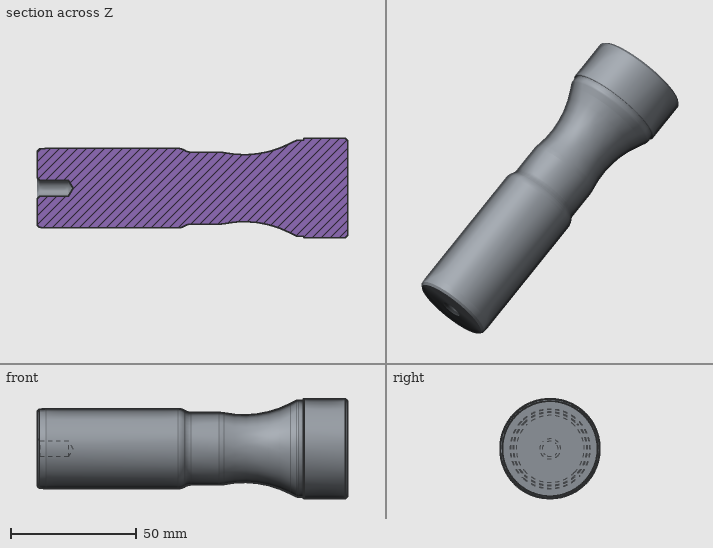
import cadquery as cq
import math

length = 124.0
shank_end = 56.2
neck_start = 61.4
neck_end = 72.5
waist_start = 74.4
waist_middle = 82.6
flare_end = 100.9
collar_start = 104.3
head_start = 106.3

shank_radius = 16.0
neck_radius = 14.5
collar_radius = 19.3
head_radius = 20.0

lead_chamfer = 0.9
lead_radius = 15.7
lead_face_radius = lead_radius - lead_chamfer
lead_length = 3.5

shoulder_angle = math.radians(30)
shoulder_arc = 5.0

waist_arc = 40.0
collar_arc = 2.0

head_front_chamfer = 0.2
head_back_chamfer = 1.0

hole_mouth_radius = 4.1
hole_radius = 3.1
hole_chamfer = hole_mouth_radius - hole_radius
hole_depth = 12.4
drill_half_angle = math.radians(59)


def turned_body():
    """Revolve the outer outline about the X axis."""
    shoulder_run = shoulder_arc * math.sin(shoulder_angle)
    shoulder_drop = shoulder_arc * (1 - math.cos(shoulder_angle))

    start_angle = math.asin((waist_middle - waist_start) / waist_arc)
    flare_angle = math.asin((flare_end - waist_middle) / waist_arc)
    waist_start_radius = neck_radius - (waist_start - neck_end) * math.tan(start_angle / 2)
    waist_radius = waist_start_radius - waist_arc * (1 - math.cos(start_angle))
    flare_radius = waist_radius + waist_arc * (1 - math.cos(flare_angle))
    cone_end = collar_start - collar_arc * math.sin(flare_angle)
    cone_end_radius = collar_radius - collar_arc * (1 - math.cos(flare_angle))

    outline = (
        cq.Workplane("XY")
        .lineTo(0, lead_face_radius)
        .lineTo(lead_chamfer, lead_radius)
        .lineTo(lead_length, shank_radius)
        .lineTo(shank_end, shank_radius)
        .tangentArcPoint((shank_end + shoulder_run, shank_radius - shoulder_drop), relative=False)
        .lineTo(neck_start - shoulder_run, neck_radius + shoulder_drop)
        .tangentArcPoint((neck_start, neck_radius), relative=False)
        .lineTo(neck_end, neck_radius)
        .tangentArcPoint((waist_start, waist_start_radius), relative=False)
        .threePointArc((waist_middle, waist_radius), (flare_end, flare_radius))
        .lineTo(cone_end, cone_end_radius)
        .tangentArcPoint((collar_start, collar_radius), relative=False)
        .lineTo(head_start, collar_radius)
        .lineTo(head_start, head_radius - head_front_chamfer)
        .lineTo(head_start + head_front_chamfer, head_radius)
        .lineTo(length - head_back_chamfer, head_radius)
        .lineTo(length, head_radius - head_back_chamfer)
        .lineTo(length, 0)
        .close()
    )
    return outline.revolve(360, (0, 0, 0), (1, 0, 0))


def centre_hole():
    """Chamfered blind hole with a conical drill point, on the X axis."""
    tip_length = hole_radius / math.tan(drill_half_angle)
    outline = (
        cq.Workplane("XY")
        .lineTo(0, hole_mouth_radius)
        .lineTo(hole_chamfer, hole_radius)
        .lineTo(hole_depth, hole_radius)
        .lineTo(hole_depth + tip_length, 0)
        .close()
    )
    return outline.revolve(360, (0, 0, 0), (1, 0, 0))


result = turned_body().cut(centre_hole())